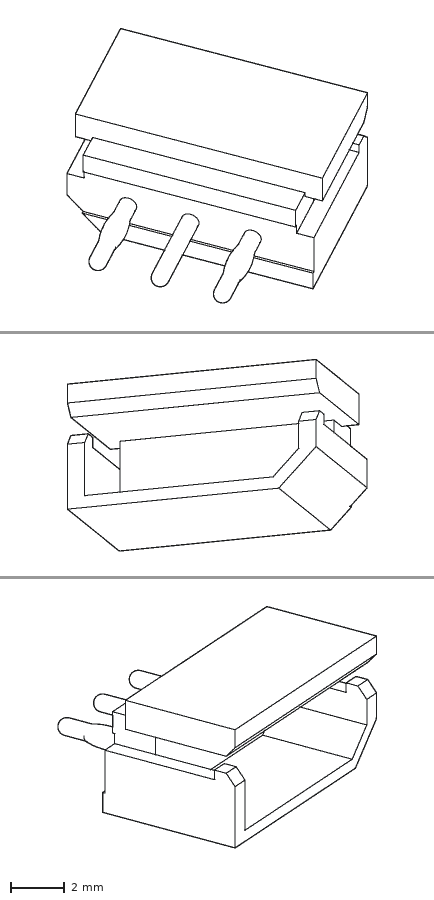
import cadquery as cq

width = 9.9
height = 4.9
total_depth = 9.4
body_depth = 5.9
mating_y = total_depth
front_y = mating_y - body_depth

plate_bottom = 3.7
plate_depth = 4.89

rim_z = 2.6
wall = 0.69
floor_thickness = 0.47
key_chamfer = 1.485

lip_top = 3.0
lip_depth = 0.92
lead_in_depth = 0.4
lead_in_height = 0.46

web_depth = 1.91
web_top = 3.9

recess_depth = 0.1
recess_bottom = 0.83
recess_top = 3.02
recess_y = front_y + recess_depth
web_back_y = front_y + web_depth

pin_pitch = 2.49
pin_z = 1.8
pin_radius = 0.35
bulge_radius = 0.46
bulge_start = 0.58
bulge_length = 1.59
bulge_drop = 0.015
pin_embed = 0.495


def extrude_side_profile(points, x_start, x_length):
    """Extrude a (Y, Z) outline along +X."""
    return cq.Workplane("YZ").workplane(offset=x_start).polyline(points).close().extrude(x_length)


def make_top_plate():
    """Plate with a sloped lead-in under its mating edge."""
    outline = [
        (mating_y - plate_depth, plate_bottom),
        (mating_y - lead_in_depth, plate_bottom),
        (mating_y, plate_bottom + lead_in_height),
        (mating_y, height),
        (mating_y - plate_depth, height),
    ]
    return extrude_side_profile(outline, 0, width)


def make_lower_shell():
    """Lower half with lips, recessed pin face and one keyed bottom edge."""
    outline = [
        (front_y, 0),
        (mating_y, 0),
        (mating_y, lip_top - lead_in_height),
        (mating_y - lead_in_depth, lip_top),
        (mating_y - lip_depth, lip_top),
        (mating_y - lip_depth, rim_z),
        (recess_y, rim_z),
        (recess_y, recess_bottom),
        (front_y, recess_bottom),
    ]
    shell = extrude_side_profile(outline, 0, width)
    key_corner = (
        cq.Workplane("XZ", origin=(0, mating_y, 0))
        .polyline([(0, 0), (key_chamfer, 0), (0, key_chamfer)])
        .close()
        .extrude(body_depth)
    )
    return shell.cut(key_corner)


def make_cavity():
    """Mating cavity, open upward and toward +Y; its corner follows the keyed edge."""
    inner_corner = key_chamfer + wall
    outline = [
        (wall, inner_corner - wall),
        (inner_corner - floor_thickness, floor_thickness),
        (width - wall, floor_thickness),
        (width - wall, plate_bottom),
        (wall, plate_bottom),
    ]
    return (
        cq.Workplane("XZ", origin=(0, mating_y, 0))
        .polyline(outline)
        .close()
        .extrude(mating_y - web_back_y)
    )


def make_web():
    """Block between the side walls, overhanging the pin face at its top."""
    outline = [
        (recess_y, rim_z),
        (web_back_y, rim_z),
        (web_back_y, web_top),
        (front_y, web_top),
        (front_y, recess_top),
        (recess_y, recess_top),
    ]
    return extrude_side_profile(outline, wall, width - 2 * wall)


def make_pin():
    """Round-tipped pin along -Y with its tip at the origin."""
    root_y = recess_y + pin_embed
    return (
        cq.Workplane("XY")
        .moveTo(0, root_y)
        .lineTo(pin_radius, root_y)
        .lineTo(pin_radius, pin_radius)
        .radiusArc((0, 0), pin_radius)
        .close()
        .revolve(360, (0, 0, 0), (0, 1, 0))
    )


def make_bulge():
    """Barrel-shaped press-fit bulge, centred slightly below the pin axis."""
    start_y = front_y - bulge_start
    end_y = start_y - bulge_length
    middle_y = start_y - bulge_length / 2
    return (
        cq.Workplane("XY")
        .moveTo(0, start_y)
        .lineTo(pin_radius, start_y)
        .threePointArc((bulge_radius, middle_y), (pin_radius, end_y))
        .lineTo(0, end_y)
        .close()
        .revolve(360, (0, 0, 0), (0, 1, 0))
        .translate((0, 0, -bulge_drop))
    )


plain_pin = make_pin()
bulged_pin = plain_pin.union(make_bulge())

result = make_lower_shell().union(make_top_plate()).cut(make_cavity()).union(make_web())
for position, pin in [(-1, bulged_pin), (0, plain_pin), (1, bulged_pin)]:
    pin_x = width / 2 + position * pin_pitch
    result = result.union(pin.translate((pin_x, 0, pin_z)))